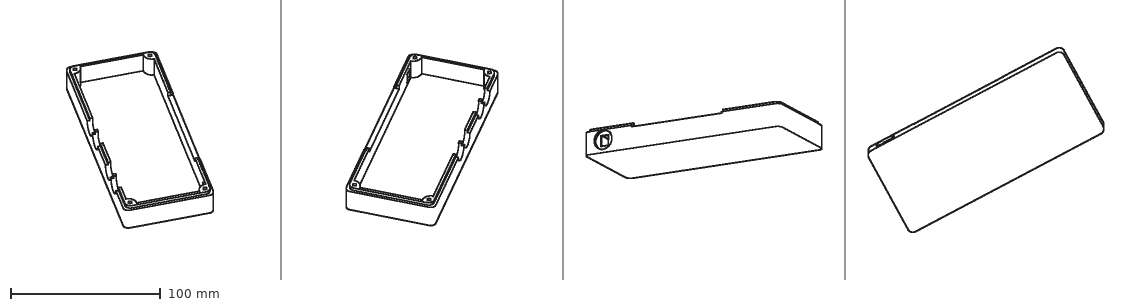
import cadquery as cq

length = 147.9
width = 62.5
height = 18.0
corner_radius = 3.7

wall = 3.7
floor = 3.7
lip_inset = 1.85
rim_height = 16.0
lip_radius = 3.7

post_radius = 5.8
screw_hole_diameter = 2.4
screw_hole_inset = 5.3
screw_hole_depth = height - floor

cable_radius = 6.2
cable_centers_x = [-12.9, 1.0, 32.7, 46.6]

notch_left = -29.7
notch_right = 37.9
notch_floor = 15.1

window_left = 56.8
window_right = 62.5
window_bottom = 5.3
window_top = 12.7
window_wall = 1.5
recess_radius = 6.7

inner_length = length - 2 * wall
inner_width = width - 2 * wall
back_y = width / 2
inner_back_y = back_y - wall


def box_between(x_range, y_range, z_range):
    """Axis-aligned block spanning the three given (low, high) ranges."""
    spans = [high - low for low, high in (x_range, y_range, z_range)]
    corner = (x_range[0], y_range[0], z_range[0])
    return cq.Workplane("XY").box(*spans, centered=False).translate(corner)


def rounded_block(block_length, block_width, block_height, radius):
    """Block standing on Z = 0 with rounded vertical edges."""
    block = cq.Workplane("XY").box(block_length, block_width, block_height, centered=(True, True, False))
    return block.edges("|Z").fillet(radius)


def make_cavity():
    """Inner space, with the corner posts left standing."""
    cavity_height = height - floor
    cavity = (
        cq.Workplane("XY")
        .workplane(offset=floor)
        .box(inner_length, inner_width, cavity_height, centered=(True, True, False))
    )
    posts = (
        cq.Workplane("XY")
        .workplane(offset=floor)
        .rect(inner_length, inner_width, forConstruction=True)
        .vertices()
        .circle(post_radius)
        .extrude(cavity_height)
    )
    return cavity.cut(posts)


def make_screw_holes():
    return (
        cq.Workplane("XY")
        .workplane(offset=height)
        .rect(length - 2 * screw_hole_inset, width - 2 * screw_hole_inset, forConstruction=True)
        .vertices()
        .circle(screw_hole_diameter / 2)
        .extrude(-screw_hole_depth)
    )


def make_cable_openings():
    return (
        cq.Workplane("XZ", origin=(0, -inner_width / 2, 0))
        .pushPoints([(x, rim_height) for x in cable_centers_x])
        .circle(cable_radius)
        .extrude(wall)
    )


def make_back_notch():
    return box_between((notch_left, notch_right), (inner_back_y, back_y), (notch_floor, height))


def make_window():
    opening = box_between((window_left, window_right), (inner_back_y, back_y), (window_bottom, window_top))
    center_x = (window_left + window_right) / 2
    center_z = (window_bottom + window_top) / 2
    recess = (
        cq.Workplane("XZ", origin=(center_x, back_y, center_z))
        .circle(recess_radius)
        .extrude(wall - window_wall)
    )
    return opening.union(recess)


base = rounded_block(length, width, rim_height, corner_radius)
lip = rounded_block(length - 2 * lip_inset, width - 2 * lip_inset, height, lip_radius)

result = (
    base.union(lip)
    .cut(make_cavity())
    .cut(make_screw_holes())
    .cut(make_cable_openings())
    .cut(make_back_notch())
    .cut(make_window())
)